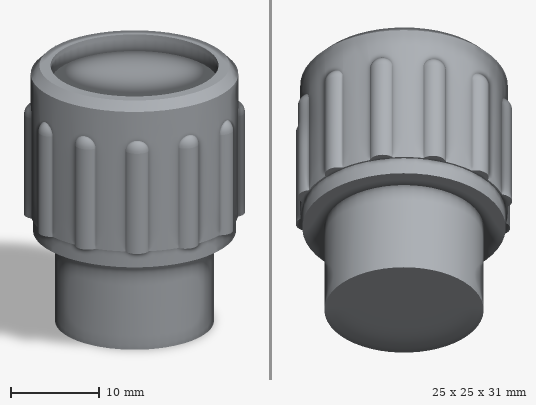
import cadquery as cq

total_height = 31.0
stem_height = 11.0
collar_height = 2.0
body_bottom = stem_height + collar_height
body_height = total_height - body_bottom

stem_diameter = 18.0
collar_diameter = 23.0
body_diameter = 23.5

rim_chamfer = 1.0
recess_diameter = 19.0
recess_depth = 2.0

rib_count = 12
grip_diameter = 25.0
rib_radius = 1.5
rib_center_radius = grip_diameter / 2 - rib_radius
rib_straight_top = 25.2
rib_straight_height = rib_straight_top - body_bottom


def cylinder(diameter, height, bottom):
    return cq.Workplane("XY", origin=(0, 0, bottom)).circle(diameter / 2).extrude(height)


def make_rib():
    bar = cylinder(2 * rib_radius, rib_straight_height, body_bottom)
    ball = cq.Workplane("XY", origin=(0, 0, rib_straight_top)).sphere(rib_radius)
    return bar.union(ball).translate((rib_center_radius, 0, 0))


stem = cylinder(stem_diameter, stem_height, 0)
collar = cylinder(collar_diameter, collar_height, stem_height)
body = cylinder(body_diameter, body_height, body_bottom).faces(">Z").chamfer(rim_chamfer)
result = stem.union(collar).union(body)

rib = make_rib()
for index in range(rib_count):
    result = result.union(rib.rotate((0, 0, 0), (0, 0, 1), index * 360 / rib_count))

result = result.cut(cylinder(recess_diameter, recess_depth, total_height - recess_depth))